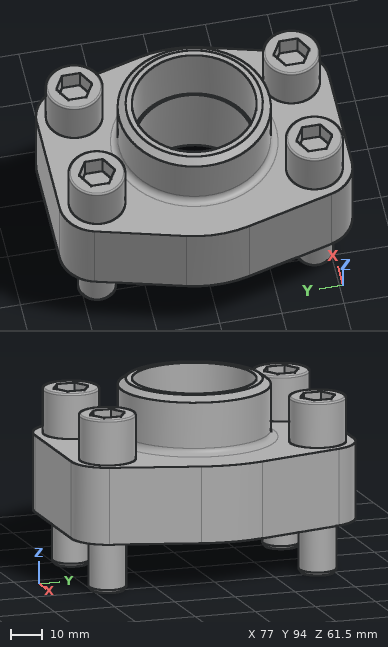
import cadquery as cq
import math

plate_length = 94.0
plate_width = 77.0
plate_thickness = 25.0
bolt_spacing_x = 35.7
bolt_spacing_y = 69.9

neck_diameter = 48.3
neck_height = 19.0
neck_top_diameter = 43.2
neck_bevel_height = 1.9
root_fillet = 2.3
bore_diameter = 38.0
socket_diameter = 39.3

head_diameter = 18.0
head_height = 14.7
head_edge_fillet = 0.6
hex_across_flats = 10.0
hex_depth = 6.0
shank_diameter = 12.0
shank_projection = 17.5
tip_chamfer_height = 1.2
tip_chamfer_width = 0.8


def make_plate():
    """Oblong plate: four round corners joined by tangent lines to two round sides."""
    corner_x = bolt_spacing_x / 2
    corner_y = bolt_spacing_y / 2
    corner_radius = plate_length / 2 - corner_y
    side_radius = plate_width / 2

    centre_angle = math.atan2(corner_y, corner_x)
    centre_distance = math.hypot(corner_x, corner_y)
    tangent_angle = centre_angle - math.acos((side_radius - corner_radius) / centre_distance)
    corner_mid_angle = (tangent_angle + math.pi / 2) / 2

    def side_point(angle):
        return side_radius * math.cos(angle), side_radius * math.sin(angle)

    def corner_point(angle):
        return (
            corner_x + corner_radius * math.cos(angle),
            corner_y + corner_radius * math.sin(angle),
        )

    def flip(point, x_sign, y_sign):
        return x_sign * point[0], y_sign * point[1]

    side_end = side_point(tangent_angle)
    corner_start = corner_point(tangent_angle)
    corner_mid = corner_point(corner_mid_angle)
    corner_end = corner_point(math.pi / 2)

    outline = (
        cq.Workplane("XY")
        .workplane(offset=-plate_thickness)
        .moveTo(*flip(side_end, 1, -1))
        .threePointArc((side_radius, 0), side_end)
        .lineTo(*corner_start)
        .threePointArc(corner_mid, corner_end)
        .lineTo(*flip(corner_end, -1, 1))
        .threePointArc(flip(corner_mid, -1, 1), flip(corner_start, -1, 1))
        .lineTo(*flip(side_end, -1, 1))
        .threePointArc((-side_radius, 0), flip(side_end, -1, -1))
        .lineTo(*flip(corner_start, -1, -1))
        .threePointArc(flip(corner_mid, -1, -1), flip(corner_end, -1, -1))
        .lineTo(*flip(corner_end, 1, -1))
        .threePointArc(flip(corner_mid, 1, -1), flip(corner_start, 1, -1))
        .close()
    )
    return outline.extrude(plate_thickness)


def make_neck():
    """Solid neck with a bevelled rim and a concave fillet at its root."""
    neck_radius = neck_diameter / 2
    fillet_mid = root_fillet * (1 - math.sqrt(0.5))
    return (
        cq.Workplane("XZ")
        .moveTo(0, 0)
        .lineTo(neck_radius + root_fillet, 0)
        .threePointArc((neck_radius + fillet_mid, fillet_mid), (neck_radius, root_fillet))
        .lineTo(neck_radius, neck_height - neck_bevel_height)
        .lineTo(neck_top_diameter / 2, neck_height)
        .lineTo(0, neck_height)
        .close()
        .revolve(360, (0, 0, 0), (0, 1, 0))
    )


def make_bore():
    """Through bore, widened to a pipe socket along the neck."""
    through = cq.Workplane("XY").workplane(offset=-plate_thickness)
    through = through.circle(bore_diameter / 2).extrude(plate_thickness + neck_height)
    socket = cq.Workplane("XY").circle(socket_diameter / 2).extrude(neck_height)
    return through.union(socket)


def make_bolt():
    """Cap screw along Z, with the underside of its head at Z = 0."""
    hex_diameter = hex_across_flats / math.cos(math.pi / 6)
    hex_socket = (
        cq.Workplane("XY")
        .workplane(offset=head_height - hex_depth)
        .polygon(6, hex_diameter)
        .extrude(hex_depth)
        .rotate((0, 0, 0), (0, 0, 1), 30)
    )
    head = (
        cq.Workplane("XY")
        .circle(head_diameter / 2)
        .extrude(head_height)
        .faces(">Z")
        .edges()
        .fillet(head_edge_fillet)
        .cut(hex_socket)
    )
    shank_radius = shank_diameter / 2
    tip_z = -plate_thickness - shank_projection
    shank = (
        cq.Workplane("XZ")
        .moveTo(0, 0)
        .lineTo(shank_radius, 0)
        .lineTo(shank_radius, tip_z + tip_chamfer_height)
        .lineTo(shank_radius - tip_chamfer_width, tip_z)
        .lineTo(0, tip_z)
        .close()
        .revolve(360, (0, 0, 0), (0, 1, 0))
    )
    return head.union(shank)


result = make_plate().union(make_neck()).cut(make_bore())

bolt = make_bolt()
for x_sign in (-1, 1):
    for y_sign in (-1, 1):
        position = (x_sign * bolt_spacing_x / 2, y_sign * bolt_spacing_y / 2, 0)
        result = result.union(bolt.translate(position))